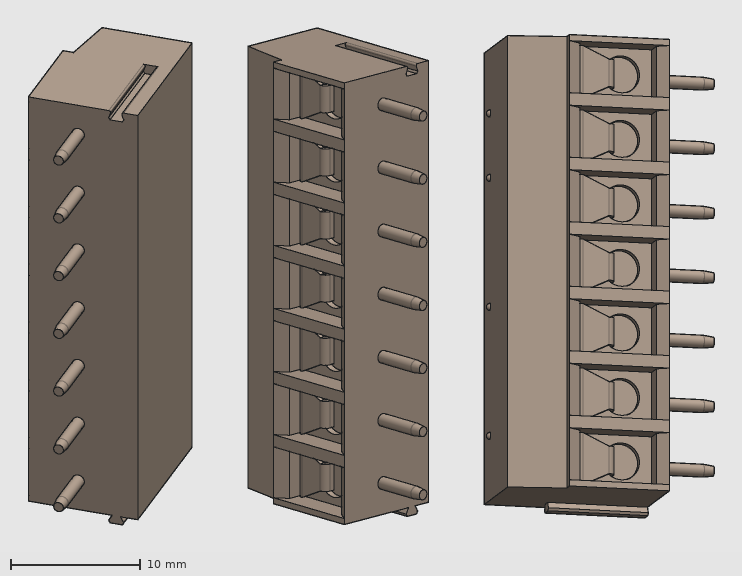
import cadquery as cq
import math


overall_height = 36.25
pole_count = 7
body_height = 35.55
pitch = body_height / pole_count
body_width = 9.0
body_depth = 12.5
step_depth = 7.98
step_width = 0.87
back_slope_x = 1.6

cell_height = 4.1
cell_floor = 2.03
front_lip_x = 0.58
front_lip_y = 0.9
back_lip_x = 0.75
back_lip_y = 6.95

hole_radius = 1.45
hole_y = 3.35
hole_bottom = 2.6

tongue_face = 1.63
tongue_tip_height = 2.18
tongue_bend_y = 4.42
tongue_tip_y = 3.88
tongue_bend_radius = tongue_bend_y - tongue_tip_y
tongue_root_radius = 0.47

pin_x = 4.1
pin_radius = 0.5
pin_tip_radius = 0.4
pin_length = 4.53
pin_tip_length = 0.85

rail_x = 7.2
rail_height = overall_height - body_height
rail_widest_z = 0.47
rail_neck = 0.35
rail_widest = 0.6
rail_end = 0.5
groove_depth = 0.8
groove_widest_z = 0.6
groove_neck = 0.4
groove_mouth_round = 0.15

bump_radius = 0.3
bump_height = 0.25
bump_poles = (1, 3, 5, 6)


def extrude_back(points, length):
    """Extrude an outline given in X and Z from the pin side toward +Y."""
    return cq.Workplane("XZ").polyline(points).close().extrude(-length)


def mirrored_outline(half_points):
    """Close a half outline of (half width, Z) about the rail centre line."""
    right = [(rail_x + half, z) for half, z in half_points]
    left = [(rail_x - half, z) for half, z in reversed(half_points)]
    return right + left


def make_housing():
    outline = [
        (0, 0),
        (body_width, 0),
        (body_width, body_depth),
        (back_slope_x, body_depth),
        (step_width, step_depth),
        (0, step_depth),
    ]
    return cq.Workplane("XY").polyline(outline).close().extrude(body_height)


def make_rail():
    half = [(rail_neck, 0), (rail_widest, -rail_widest_z), (rail_end, -rail_height)]
    return extrude_back(mirrored_outline(half), step_depth)


def make_groove():
    half = [
        (groove_neck, body_height),
        (rail_widest, body_height - groove_widest_z),
        (rail_end, body_height - groove_depth),
    ]
    return extrude_back(mirrored_outline(half), step_depth)


def round_groove_mouth(housing):
    """Round the two long edges where the groove opens in the upper end face."""
    mouth_edges = cq.selectors.BoxSelector(
        (rail_x - rail_widest, 0, body_height - groove_mouth_round),
        (rail_x + rail_widest, step_depth - groove_mouth_round, body_height + groove_mouth_round),
    )
    return housing.edges("|Y").edges(mouth_edges).fillet(groove_mouth_round)


def make_cell(center_z):
    """Cavity of one cell: sloped lips, flat floor and wire hole."""
    outline = [
        (0, 0),
        (front_lip_x, front_lip_y),
        (cell_floor, front_lip_y),
        (cell_floor, back_lip_y),
        (back_lip_x, back_lip_y),
        (0, step_depth),
    ]
    cavity = (
        cq.Workplane("XY", origin=(0, 0, center_z - cell_height / 2))
        .polyline(outline).close()
        .extrude(cell_height)
    )
    hole = (
        cq.Workplane("YZ", origin=(cell_floor, hole_y, center_z))
        .circle(hole_radius)
        .extrude(hole_bottom - cell_floor)
    )
    return cavity.union(hole)


def make_tongue(center_z):
    """Clamp tongue: a side profile in X and Y trimmed to its tapered plan in Y and Z."""
    root_y = back_lip_y
    flat_start_y = root_y - tongue_root_radius
    diagonal = math.sqrt(0.5)
    root_mid = (
        tongue_face + tongue_root_radius * (1 - diagonal),
        flat_start_y + tongue_root_radius * diagonal,
    )
    bend_mid = (
        tongue_face + tongue_bend_radius * (1 - diagonal),
        tongue_bend_y - tongue_bend_radius * diagonal,
    )
    profile = (
        cq.Workplane("XY", origin=(0, 0, center_z - cell_height / 2))
        .moveTo(hole_bottom, root_y)
        .lineTo(tongue_face + tongue_root_radius, root_y)
        .threePointArc(root_mid, (tongue_face, flat_start_y))
        .lineTo(tongue_face, tongue_bend_y)
        .threePointArc(bend_mid, (tongue_face + tongue_bend_radius, tongue_tip_y))
        .lineTo(hole_bottom, tongue_tip_y)
        .close()
        .extrude(cell_height)
    )
    plan = [
        (root_y, cell_height / 2),
        (flat_start_y, cell_height / 2),
        (tongue_bend_y, tongue_tip_height / 2),
        (tongue_tip_y, tongue_tip_height / 2),
    ]
    mirrored_plan = [(y, -z) for y, z in reversed(plan)]
    taper = (
        cq.Workplane("YZ", origin=(0, 0, center_z))
        .polyline(plan + mirrored_plan).close()
        .extrude(hole_bottom)
    )
    return profile.intersect(taper)


def make_pin(center_z):
    """Round pin with a conical tip, pointing toward -Y."""
    profile = [
        (0, 0),
        (pin_radius, 0),
        (pin_radius, pin_tip_length - pin_length),
        (pin_tip_radius, -pin_length),
        (0, -pin_length),
    ]
    return (
        cq.Workplane("XY", origin=(pin_x, 0, center_z))
        .polyline(profile).close()
        .revolve(360, (0, 0, 0), (0, 1, 0))
    )


def make_bump(center_z):
    """Spherical cap on the back face."""
    sphere_radius = (bump_radius**2 + bump_height**2) / (2 * bump_height)
    center_y = body_depth + bump_height - sphere_radius
    return cq.Workplane("XY").sphere(sphere_radius).translate((rail_x, center_y, center_z))


result = make_housing().union(make_rail()).cut(make_groove())
result = round_groove_mouth(result)
for pole in range(pole_count):
    pole_z = (pole + 0.5) * pitch
    result = result.cut(make_cell(pole_z)).union(make_tongue(pole_z)).union(make_pin(pole_z))
for pole in bump_poles:
    result = result.union(make_bump(pole * pitch))